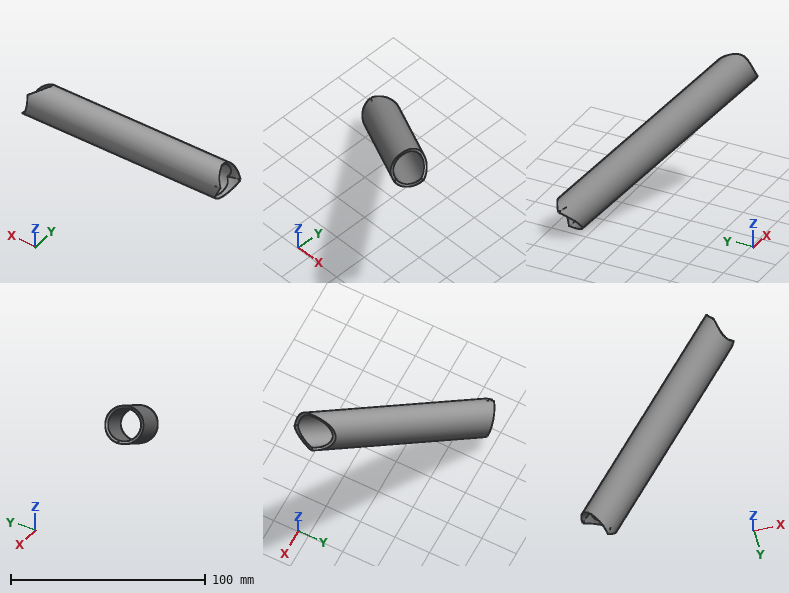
import cadquery as cq

TUBE_RADIUS = 10.0
WALL = 1.5
BORE_RADIUS = TUBE_RADIUS - WALL
TUBE_DIRECTION = cq.Vector(90.0, -66.22, 72.04).normalized()
JOINT_DISTANCE = 132.66

LOWER_JOINT = cq.Vector(0, 0, 0)
UPPER_JOINT = LOWER_JOINT + TUBE_DIRECTION * JOINT_DISTANCE

LEVEL_DIRECTION = cq.Vector(0, 1, 0)
SLOPED_DIRECTION = cq.Vector(-0.684, -0.296, -0.661).normalized()

UPPER_TUBE_RADIUS = 12.5
BRANCH_DIRECTION = cq.Vector(0.504, -0.030, -0.867).normalized()

CUT_REACH = 60.0
BORE_OVERRUN = 1.0


def cylinder(joint, direction, radius, start, end):
    """Cylinder about an axis through the joint, between two distances along it."""
    base = joint + direction * start
    return cq.Workplane(cq.Solid.makeCylinder(radius, end - start, base, direction))


def mitred_leg(joint, direction, other_direction, radius):
    """Cylinder along one direction, kept on its own side of the mitre with the other."""
    mitre_normal = direction - other_direction
    mitre_plane = cq.Plane(joint, normal=mitre_normal)
    own_side = cq.Workplane(mitre_plane).rect(4 * CUT_REACH, 4 * CUT_REACH).extrude(2 * CUT_REACH)
    return cylinder(joint, direction, radius, -CUT_REACH, CUT_REACH).intersect(own_side)


def plain_tube():
    outside = cylinder(LOWER_JOINT, TUBE_DIRECTION, TUBE_RADIUS, 0, JOINT_DISTANCE)
    bore = cylinder(
        LOWER_JOINT, TUBE_DIRECTION, BORE_RADIUS, -BORE_OVERRUN, JOINT_DISTANCE + BORE_OVERRUN
    )
    return outside.cut(bore)


def notch_lower_end(tube):
    level_leg = mitred_leg(LOWER_JOINT, LEVEL_DIRECTION, SLOPED_DIRECTION, TUBE_RADIUS)
    sloped_leg = mitred_leg(LOWER_JOINT, SLOPED_DIRECTION, LEVEL_DIRECTION, TUBE_RADIUS)
    return tube.cut(level_leg).cut(sloped_leg)


def notch_upper_end(tube):
    through_tube = cylinder(UPPER_JOINT, LEVEL_DIRECTION, UPPER_TUBE_RADIUS, -CUT_REACH, CUT_REACH)
    branch = cylinder(UPPER_JOINT, BRANCH_DIRECTION, UPPER_TUBE_RADIUS, 0, CUT_REACH)
    return tube.cut(through_tube).cut(branch)


notched_tube = notch_upper_end(notch_lower_end(plain_tube()))
result = cq.Workplane(notched_tube.solids().val())